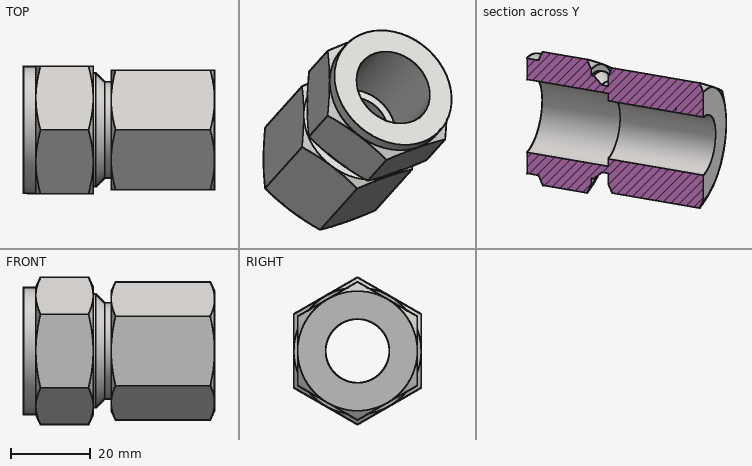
import cadquery as cq
import math


overall_length = 47.9
nut_start = 3.1
nut_end = 17.5
shoulder_end = 18.15
body_start = 22.0

nut_across_flats = 32.0
body_across_flats = 30.0
collar_radius = 15.95
shoulder_radius = 14.3
neck_radius = 12.1
hexagon_chamfer_angle = 25.0

tube_socket_diameter = 20.0
tube_socket_depth = body_start
through_bore_diameter = 15.9

neck_start = shoulder_end + shoulder_radius - neck_radius


def cylinder(start, end, radius):
    """Solid cylinder on the X axis between two positions."""
    return cq.Workplane("YZ", origin=(start, 0, 0)).circle(radius).extrude(end - start)


def chamfered_hexagon(start, end, across_flats, face_radius):
    """Hexagon with corners up and down, coned at both ends from the end face circles."""
    corner_radius = across_flats / math.sqrt(3)
    chamfer_length = (corner_radius - face_radius) * math.tan(math.radians(hexagon_chamfer_angle))
    prism = (
        cq.Workplane("YZ", origin=(start, 0, 0))
        .transformed(rotate=(0, 0, 90))
        .polygon(6, 2 * corner_radius)
        .extrude(end - start)
    )
    envelope = (
        cq.Workplane("XZ")
        .moveTo(start, 0)
        .lineTo(start, face_radius)
        .lineTo(start + chamfer_length, corner_radius)
        .lineTo(end - chamfer_length, corner_radius)
        .lineTo(end, face_radius)
        .lineTo(end, 0)
        .close()
        .revolve(360, (0, 0, 0), (1, 0, 0))
    )
    return prism.intersect(envelope)


def shoulder_and_neck():
    """Short shoulder behind the nut, tapering to the neck that meets the body."""
    return (
        cq.Workplane("XZ")
        .moveTo(nut_end, 0)
        .lineTo(nut_end, shoulder_radius)
        .lineTo(shoulder_end, shoulder_radius)
        .lineTo(neck_start, neck_radius)
        .lineTo(body_start, neck_radius)
        .lineTo(body_start, 0)
        .close()
        .revolve(360, (0, 0, 0), (1, 0, 0))
    )


collar = cylinder(0, nut_start, collar_radius)
nut = chamfered_hexagon(nut_start, nut_end, nut_across_flats, collar_radius)
body = chamfered_hexagon(body_start, overall_length, body_across_flats, body_across_flats / 2)

tube_socket = cylinder(0, tube_socket_depth, tube_socket_diameter / 2)
through_bore = cylinder(0, overall_length, through_bore_diameter / 2)

result = collar.union(nut).union(shoulder_and_neck()).union(body)
result = result.cut(tube_socket).cut(through_bore)